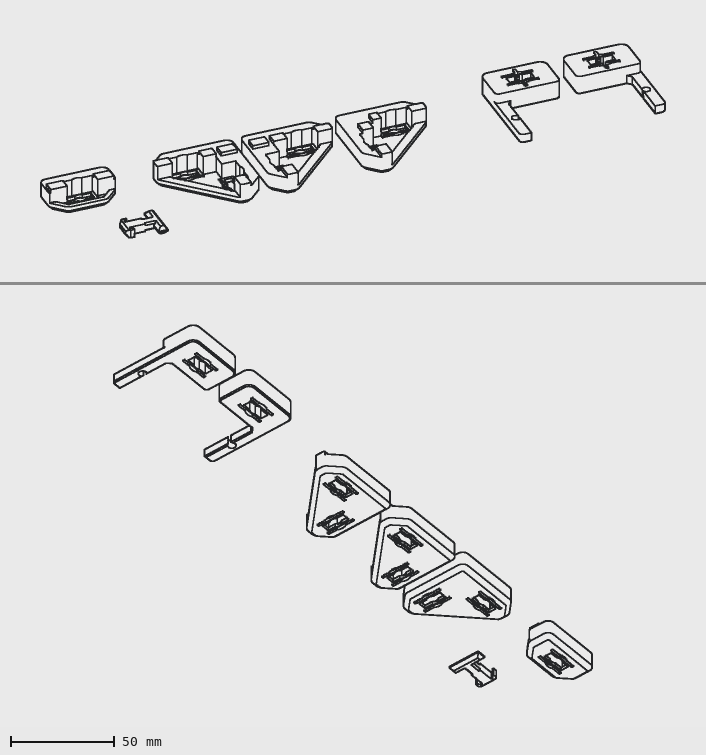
import cadquery as cq
import math

OVERALL_WIDTH = 55.5
OVERALL_LENGTH = 307.0
BODY_HEIGHT = 10.0

BRACKET_X = 1.5
BODY_WIDTH = 20.0
RAIL_CENTER = BODY_WIDTH / 2
RAIL_WIDTH = 5.5
RAIL_HEIGHT = 1.8
TOTAL_HEIGHT = BODY_HEIGHT + RAIL_HEIGHT
BOTTOM_CHAMFER = 2.5
FLOOR = 1.8
BRACKET_CORNER_RADIUS = 3.5
RIM_HEIGHT = 4.5
RAIL_NEAR = RAIL_CENTER - RAIL_WIDTH / 2
RAIL_FAR = RAIL_CENTER + RAIL_WIDTH / 2

RECESS_LENGTH = 16.0
RECESS_WIDTH = 9.0
RECESS_BORE = 10.5
BRIDGE_WIDTH = 6.5
KEYHOLE_LENGTH = 13.0
KEYHOLE_WIDTH = 4.3
KEYHOLE_BORE = 5.8
CROSS_SLOT_LENGTH = 16.3
CROSS_SLOT_WIDTH = 1.5
CROSS_SLOT_DEPTH = 3.0

CORNER_SIZE = 43.5
CORNER_HOLE = 27.5
CORNER_RIM = 4.5
PLAIN_RAIL_START = 15.3
PLAIN_RAIL_SIDE_START = 13.5
KEY_START = 1.8
KEY_END = 10.0
PLAIN_CORNER_Y = 153.8
KEYED_CORNER_Y = 104.7
MIRRORED_CORNER_Y = 56.5

STRAIGHT_LENGTH = 35.0
STRAIGHT_RIM = 2.5
STRAIGHT_SHELF = 1.0
STRAIGHT_RAIL_INSET = 1.0

CLIP_LENGTH = 33.8
CLIP_BOTTOM = 5.0
CLIP_CORNER_RADIUS = 4.0
CLIP_SMALL_RADIUS = 2.0
CLIP_WIDTH = 20.3
CLIP_CHAMFER = 0.5
ARM_END = 51.3
ARM_WIDTH = 5.8
ARM_HEIGHT = 5.0
ARM_FILLET = 2.0
ARM_WEB = 2.0
ARM_HOLE_X = 35.5
ARM_HOLE_INSET = 4.0
ARM_HOLE_DIAMETER = 4.0
LOWER_CLIP_Y = 230.8
UPPER_CLIP_Y = OVERALL_LENGTH - CLIP_LENGTH

PIN_TIP_Y = 25.2
PIN_LENGTH = 20.0
PIN_THICKNESS = 4.3
HEAD_WIDTH = 18.0
PIN_CENTER_X = OVERALL_WIDTH - HEAD_WIDTH / 2
HEAD_DEPTH = 5.0
HEAD_BEVEL = 1.5
HEAD_BEVEL_HEIGHT = 1.8
STEM_WIDTH = 5.5
NECK_LENGTH = 4.3
NECK_BEVEL = 1.0
FOOT_WIDTH = 11.0
FOOT_TIP_WIDTH = 7.5
FOOT_THICKNESS = 2.5
FOOT_TIP_RISE = 1.8
FOOT_BEVEL = 1.2
BARB_RISE = 4.0
BARB_WIDTH = 1.8
BARB_TIP_WIDTH = 1.0


def block(x0, x1, y0, y1, z0, z1):
    """Box between two opposite corners."""
    return cq.Workplane("XY").box(x1 - x0, y1 - y0, z1 - z0, centered=False).translate((x0, y0, z0))


def prism(points, z0, z1):
    """Polygon extruded from z0 to z1."""
    return cq.Workplane("XY").workplane(offset=z0).polyline(points).close().extrude(z1 - z0)


def bored_slot(width, length, bore, top):
    """Rectangular slot along Y with a round bore at its middle, at the origin, from z = 0 up to top."""
    slot = cq.Workplane("XY").rect(width, length).extrude(top)
    return slot.union(cq.Workplane("XY").circle(bore / 2).extrude(top))


def recess(top):
    """Outline of a twist-lock hole, from z = 0 up to top."""
    return bored_slot(RECESS_WIDTH, RECESS_LENGTH, RECESS_BORE, top)


def lock_hole(top):
    """Through part of a twist-lock hole: a keyhole in a bridge between two slits."""
    bridge = cq.Workplane("XY").rect(BRIDGE_WIDTH, RECESS_LENGTH).extrude(top)
    keyhole = bored_slot(KEYHOLE_WIDTH, KEYHOLE_LENGTH, KEYHOLE_BORE, top)
    return recess(top).cut(bridge).union(keyhole)


def bracket_hole():
    """Twist-lock hole of a bracket, along Y: the recess reaches down to the bridge, at floor height."""
    return lock_hole(TOTAL_HEIGHT).union(recess(TOTAL_HEIGHT - FLOOR).translate((0, 0, FLOOR)))


def clip_hole():
    """Twist-lock hole of a clip, along Y: full-height bridge, and a shallow slot across the top."""
    slot = cq.Workplane("XY").slot2D(CROSS_SLOT_LENGTH, CROSS_SLOT_WIDTH).extrude(CROSS_SLOT_DEPTH)
    return lock_hole(BODY_HEIGHT).union(slot.translate((0, 0, BODY_HEIGHT - CROSS_SLOT_DEPTH)))


def rail(start, end, turned=False):
    """Rail of a bracket, along Y, or along X when turned."""
    if turned:
        return block(start, end, RAIL_NEAR, RAIL_FAR, BODY_HEIGHT, TOTAL_HEIGHT)
    return block(RAIL_NEAR, RAIL_FAR, start, end, BODY_HEIGHT, TOTAL_HEIGHT)


def bracket_block(outline, rails):
    """Solid bracket with rounded corners and a chamfered bottom, its rails trimmed to the outline."""
    envelope = prism(outline, 0, TOTAL_HEIGHT).edges("|Z").fillet(BRACKET_CORNER_RADIUS)
    envelope = envelope.faces("<Z").chamfer(BOTTOM_CHAMFER)
    material = block(0, CORNER_SIZE, 0, CORNER_SIZE, 0, BODY_HEIGHT)
    for piece in rails:
        material = material.union(piece)
    return envelope.intersect(material)


def corner_bracket(rails):
    """Triangular bracket with its right-angled corner at the origin and the given rails on top."""
    size = CORNER_SIZE
    outline = [
        (0, 0),
        (size - RAIL_NEAR, 0),
        (size, RAIL_NEAR),
        (size, RAIL_FAR),
        (RAIL_FAR, size),
        (RAIL_NEAR, size),
        (0, size - RAIL_NEAR),
    ]
    body = bracket_block(outline, rails)

    pocket_end = size - CORNER_RIM * math.sqrt(2)
    pocket = [(RAIL_FAR, RAIL_FAR), (pocket_end, RAIL_FAR), (RAIL_FAR, pocket_end)]
    body = body.cut(prism(pocket, FLOOR, BODY_HEIGHT))
    above_rim = [(RAIL_FAR, RAIL_FAR), (size, RAIL_FAR), (RAIL_FAR, size)]
    body = body.cut(prism(above_rim, RIM_HEIGHT, BODY_HEIGHT))

    hole = bracket_hole()
    side_hole = hole.rotate((0, 0, 0), (0, 0, 1), 90)
    body = body.cut(hole.translate((RAIL_CENTER, CORNER_HOLE, 0)))
    return body.cut(side_hole.translate((CORNER_HOLE, RAIL_CENTER, 0)))


def plain_corner_bracket():
    """Corner bracket whose corner between the two rails is clear."""
    rails = [rail(PLAIN_RAIL_START, CORNER_SIZE), rail(PLAIN_RAIL_SIDE_START, CORNER_SIZE, True)]
    return corner_bracket(rails)


def keyed_corner_bracket():
    """Corner bracket with a short rail in its corner."""
    rails = [
        rail(RAIL_FAR, CORNER_SIZE),
        rail(KEY_START, KEY_END),
        rail(CORNER_HOLE, CORNER_SIZE, True),
    ]
    return corner_bracket(rails)


def straight_bracket():
    """Bracket with one rail, and a pocket behind a low rim on its +X side."""
    length = STRAIGHT_LENGTH
    cut = BODY_WIDTH - RAIL_FAR
    outline = [
        (0, 0),
        (RAIL_FAR, 0),
        (BODY_WIDTH, cut),
        (BODY_WIDTH, length - cut),
        (RAIL_FAR, length),
        (0, length),
    ]
    body = bracket_block(outline, [rail(STRAIGHT_RAIL_INSET, length - STRAIGHT_RAIL_INSET)])

    body = body.cut(block(RAIL_FAR, BODY_WIDTH, 0, length, RIM_HEIGHT, BODY_HEIGHT))
    pocket_start = STRAIGHT_RIM * math.sqrt(2)
    pocket_far = BODY_WIDTH - STRAIGHT_RIM
    run = pocket_far - RAIL_FAR
    pocket = [
        (RAIL_FAR, pocket_start),
        (pocket_far, pocket_start + run),
        (pocket_far, length - pocket_start - run),
        (RAIL_FAR, length - pocket_start),
    ]
    body = body.cut(prism(pocket, FLOOR + STRAIGHT_SHELF, BODY_HEIGHT))
    middle = length / 2
    half_recess = RECESS_LENGTH / 2
    deep_pocket = block(
        RAIL_CENTER, pocket_far, middle - half_recess, middle + half_recess, FLOOR, TOTAL_HEIGHT
    )
    body = body.cut(deep_pocket)
    return body.cut(bracket_hole().translate((RAIL_CENTER, middle, 0)))


def clip():
    """Clip block with its arm along the y = 0 side."""
    body = block(0, CLIP_WIDTH, 0, CLIP_LENGTH, 0, BODY_HEIGHT)
    body = body.edges("|Z and <X").fillet(CLIP_CORNER_RADIUS)
    body = body.edges("|Z and >X").fillet(CLIP_SMALL_RADIUS)

    arm = block(CLIP_WIDTH / 2, ARM_END, 0, ARM_WIDTH, 0, ARM_HEIGHT)
    arm = arm.edges("|Z and >X and <Y").fillet(ARM_FILLET)
    web_outline = [
        (CLIP_WIDTH, ARM_WIDTH),
        (CLIP_WIDTH + ARM_WEB, ARM_WIDTH),
        (CLIP_WIDTH, ARM_WIDTH + ARM_WEB),
    ]
    web = prism(web_outline, 0, ARM_HEIGHT)
    arm_hole = cq.Workplane("XY").center(ARM_HOLE_X, ARM_HOLE_INSET).circle(ARM_HOLE_DIAMETER / 2)
    body = body.union(arm).union(web).faces("<Z").chamfer(CLIP_CHAMFER)
    body = body.cut(arm_hole.extrude(ARM_HEIGHT))
    return body.cut(clip_hole().translate((CLIP_WIDTH / 2, CLIP_LENGTH / 2, 0)))


def pin():
    """Twist-lock pin lying flat, tip at y = 0 and head at +Y, centred on x = 0."""
    head_start = PIN_LENGTH - HEAD_DEPTH
    head = block(-HEAD_WIDTH / 2, HEAD_WIDTH / 2, head_start, PIN_LENGTH, 0, PIN_THICKNESS)
    head = head.faces(">Z or <Z").edges().chamfer(HEAD_BEVEL_HEIGHT, HEAD_BEVEL)

    half_stem = STEM_WIDTH / 2
    half_foot = FOOT_WIDTH / 2
    half_tip = FOOT_TIP_WIDTH / 2
    half_outline = [
        (half_tip, 0),
        (half_foot, FOOT_TIP_RISE),
        (half_foot, BARB_RISE),
        (half_foot - BARB_TIP_WIDTH, BARB_RISE),
        (half_foot - BARB_WIDTH, FOOT_THICKNESS),
        (half_stem, FOOT_THICKNESS),
        (half_stem, head_start - NECK_LENGTH),
    ]
    other_half = [(-x, y) for x, y in reversed(half_outline)]
    shank = prism(half_outline + other_half, 0, PIN_THICKNESS)
    shank = shank.faces("<Y").edges("|X").chamfer(FOOT_BEVEL)
    neck_start = head_start - NECK_LENGTH
    neck_end = head_start + HEAD_DEPTH / 2
    neck = block(-half_stem, half_stem, neck_start, neck_end, 0, PIN_THICKNESS)
    neck = neck.edges("|Y").chamfer(NECK_BEVEL)
    return shank.union(neck).union(head)


def mirrored(body, length):
    """Mirror image of a body across the middle of its length along Y."""
    return body.mirror("XZ").translate((0, length, 0))


def place(body, x, y, z=0):
    """Solid of a body moved to its place in the set."""
    return body.translate((x, y, z)).val()


lower_clip = clip()
upper_clip = mirrored(lower_clip, CLIP_LENGTH)
keyed_bracket = keyed_corner_bracket()
mirrored_bracket = mirrored(keyed_bracket, CORNER_SIZE)

result = cq.Compound.makeCompound([
    place(upper_clip, 0, UPPER_CLIP_Y, CLIP_BOTTOM),
    place(lower_clip, 0, LOWER_CLIP_Y, CLIP_BOTTOM),
    place(plain_corner_bracket(), BRACKET_X, PLAIN_CORNER_Y),
    place(keyed_bracket, BRACKET_X, KEYED_CORNER_Y),
    place(mirrored_bracket, BRACKET_X, MIRRORED_CORNER_Y),
    place(straight_bracket(), BRACKET_X, 0),
    place(pin(), PIN_CENTER_X, PIN_TIP_Y),
])